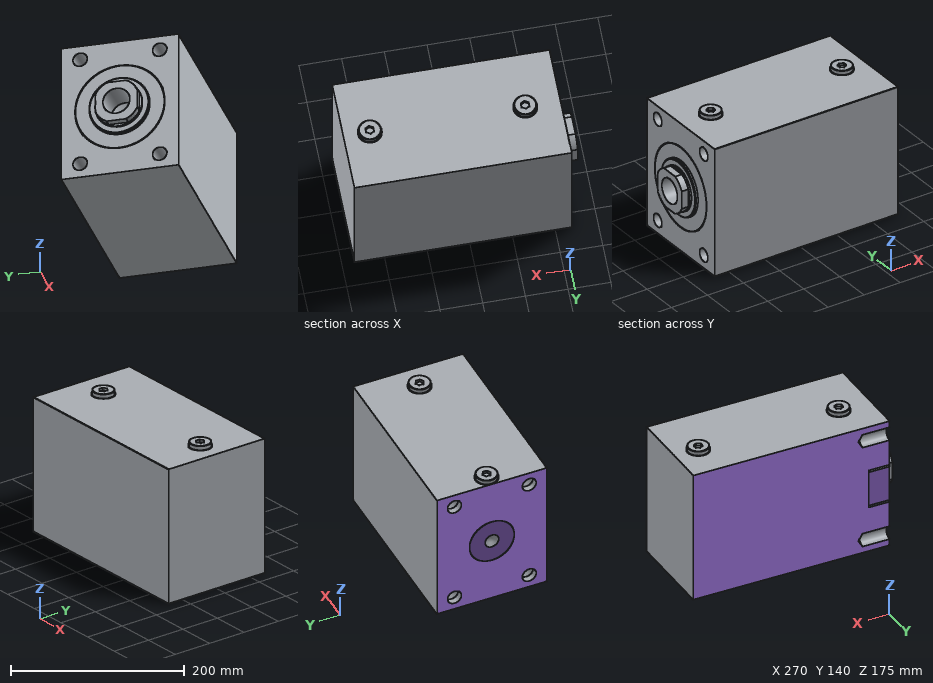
import cadquery as cq
import math

TOTAL_LENGTH = 270.0
BLOCK_WIDTH = 140.0
BLOCK_HEIGHT = 170.0
TOTAL_HEIGHT = 175.0
EDGE_CHAMFER = 0.4
ROD_PROJECTION = 15.5
BLOCK_LENGTH = TOTAL_LENGTH - ROD_PROJECTION

MOUNT_SPACING_Y = 95.0
MOUNT_SPACING_Z = 135.0
MOUNT_DIAMETER = 17.0
MOUNT_DEPTH = 35.0
DRILL_POINT_ANGLE = 118.0

GLAND_DIAMETER = 105.8
GLAND_THICKNESS = 27.0
GLAND_CLEARANCE = 0.8
BOSS_DIAMETER = 71.8
BOSS_HEIGHT = 3.8
BOSS_CHAMFER = 1.0

ROD_DIAMETER = 56.2
ROD_SHOULDER = 6.2
TIP_DIAMETER = 55.0
ACROSS_FLATS = 50.0
ROD_END_DEPTH = 48.5
ROD_BORE_DIAMETER = 32.0
ROD_BORE_DEPTH = 37.8

PLUG_DIAMETER = 26.0
PLUG_CHAMFER = 0.5
PLUG_SEAT_DIAMETER = 28.0
PLUG_SEAT_DEPTH = 0.8
PLUG_DEPTH = 10.8
PLUG_HEAD_HEIGHT = TOTAL_HEIGHT - BLOCK_HEIGHT
FIRST_PLUG_X = 41.5
PLUG_SPACING = 182.0
HEX_ACROSS_FLATS = 9.2
HEX_DEPTH = 3.2

BLOCK_TOP = BLOCK_HEIGHT / 2
PLUG_PLACES = [FIRST_PLUG_X, FIRST_PLUG_X + PLUG_SPACING]


def cylinder_along_x(diameter, start, end):
    return cq.Workplane("YZ", origin=(start, 0, 0)).circle(diameter / 2).extrude(end - start)


def drilled_hole(diameter, start, depth):
    """Cutter for a blind hole along X with a drill-point bottom."""
    radius = diameter / 2
    point = radius / math.tan(math.radians(DRILL_POINT_ANGLE / 2))
    profile = [(start, 0), (start, radius), (start + depth, radius), (start + depth + point, 0)]
    return cq.Workplane("XY").polyline(profile).close().revolve(360, (0, 0, 0), (1, 0, 0))


def make_block():
    block = cq.Workplane("XY").box(BLOCK_LENGTH, BLOCK_WIDTH, BLOCK_HEIGHT, centered=(False, True, True))
    block = block.edges(">Z and <Y").chamfer(EDGE_CHAMFER)
    block = block.cut(cylinder_along_x(GLAND_DIAMETER + 2 * GLAND_CLEARANCE, 0, GLAND_THICKNESS))
    block = block.cut(cylinder_along_x(ROD_DIAMETER, 0, ROD_END_DEPTH))
    mount_hole = drilled_hole(MOUNT_DIAMETER, 0, MOUNT_DEPTH)
    for side_y in (-1, 1):
        for side_z in (-1, 1):
            place = (0, side_y * MOUNT_SPACING_Y / 2, side_z * MOUNT_SPACING_Z / 2)
            block = block.cut(mount_hole.translate(place))
    for x in PLUG_PLACES:
        block = block.cut(plug_blank().union(plug_seat()).translate((x, 0, BLOCK_TOP)))
    return block


def make_gland():
    disc = cylinder_along_x(GLAND_DIAMETER, 0, GLAND_THICKNESS)
    boss = cylinder_along_x(BOSS_DIAMETER, -BOSS_HEIGHT, 0).faces("<X").chamfer(BOSS_CHAMFER)
    return disc.union(boss).cut(cylinder_along_x(ROD_DIAMETER, -BOSS_HEIGHT, GLAND_THICKNESS))


def make_rod():
    rod = cylinder_along_x(ROD_DIAMETER, -ROD_SHOULDER, ROD_END_DEPTH)
    tip_length = ROD_PROJECTION - ROD_SHOULDER
    square = (
        cq.Workplane("YZ", origin=(-ROD_PROJECTION, 0, 0))
        .rect(ACROSS_FLATS, ACROSS_FLATS)
        .extrude(tip_length)
    )
    tip = cylinder_along_x(TIP_DIAMETER, -ROD_PROJECTION, -ROD_SHOULDER).intersect(square)
    return rod.union(tip).cut(drilled_hole(ROD_BORE_DIAMETER, -ROD_PROJECTION, ROD_BORE_DEPTH))


def plug_blank():
    """Plain plug cylinder on the Z axis, with its head above Z = 0."""
    return (
        cq.Workplane("XY", origin=(0, 0, -PLUG_DEPTH))
        .circle(PLUG_DIAMETER / 2)
        .extrude(PLUG_DEPTH + PLUG_HEAD_HEIGHT)
    )


def plug_seat():
    """Cutter for the counterbore around a plug, reaching down from Z = 0."""
    return cq.Workplane("XY").circle(PLUG_SEAT_DIAMETER / 2).extrude(-PLUG_SEAT_DEPTH)


def make_plug(x):
    corner_diameter = HEX_ACROSS_FLATS / math.cos(math.radians(30))
    socket = (
        cq.Workplane("XY", origin=(0, 0, PLUG_HEAD_HEIGHT - HEX_DEPTH))
        .transformed(rotate=(0, 0, 30))
        .polygon(6, corner_diameter)
        .extrude(HEX_DEPTH)
    )
    plug = plug_blank().faces(">Z").chamfer(PLUG_CHAMFER).cut(socket)
    return plug.translate((x, 0, BLOCK_TOP))


block = make_block()
gland = make_gland()
rod = make_rod()
plugs = [make_plug(x) for x in PLUG_PLACES]

result = cq.Compound.makeCompound(
    [block.val(), gland.val(), rod.val(), *[plug.val() for plug in plugs]]
)